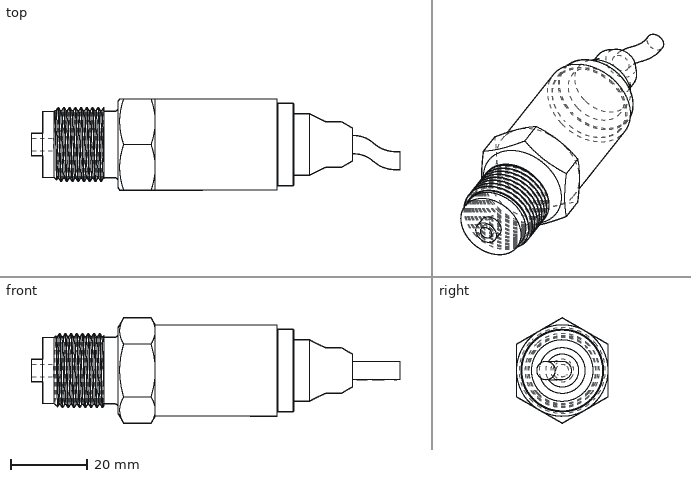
import cadquery as cq
import math


TIP_DIAMETER = 6.0
TIP_END = 3.0
BORE_DIAMETER = 3.3
BORE_DEPTH = 5.8
PILOT_DIAMETER = 17.45

THREAD_START = 6.0
THREAD_END = 19.1
THREAD_DIAMETER = 19.5
ROOT_DIAMETER = 17.8
THREAD_PITCH = 1.5
FIRST_CREST = 7.5
CREST_WIDTH = THREAD_PITCH / 8
FLANK_ANGLE = 30.0
LEAD_IN_LENGTH = 1.2
GROOVE_OVERCUT = 0.1

NECK_DIAMETER = 17.5
NECK_FILLET = 0.9

HEX_START = 22.8
HEX_END = 32.6
HEX_FLATS = 24.0
HEX_FACE_DIAMETER = 22.6
HEX_CHAMFER_ANGLE = 30.0
HOUSING_DIAMETER = HEX_FLATS
HOUSING_END = 64.6

COLLAR_DIAMETER = 21.7
COLLAR_CHAMFER = 0.24
COLLAR_END = 69.0
SHOULDER_DIAMETER = 16.2
SHOULDER_END = 73.1
NOSE_DIAMETER = 12.0
NOSE_START = 77.4
NOSE_FILLET = 0.7
NOSE_CONE_START = 81.5
NOSE_CONE_ANGLE = 30.0
NOSE_CONE_FILLET = 1.2
GLAND_END = 84.4
SELECT_MARGIN = 0.1

CABLE_DIAMETER = 4.8
CABLE_END = 96.95
CABLE_OFFSET = 4.3
BEND_END = 95.6
BEND_SLOPE = 0.9


def revolve_profile(profile):
    """Turn a closed XY profile about the X axis."""
    return profile.close().revolve(360, (0, 0, 0), (1, 0, 0))


def make_port_core():
    """Pressure tip, pilot and neck, with the thread root section bridging pilot and neck."""
    tip, pilot, neck = (d / 2 for d in (TIP_DIAMETER, PILOT_DIAMETER, NECK_DIAMETER))
    profile = (
        cq.Workplane("XY")
        .lineTo(0, tip)
        .lineTo(TIP_END, tip)
        .lineTo(TIP_END, pilot)
        .lineTo(THREAD_END, pilot)
        .lineTo(THREAD_END, neck)
        .lineTo(HEX_START - NECK_FILLET, neck)
        .radiusArc((HEX_START, neck + NECK_FILLET), -NECK_FILLET)
        .lineTo(HEX_START, 0)
    )
    return revolve_profile(profile)


def make_thread_groove(start, length):
    """Right-hand helical groove along X that leaves the thread crests standing."""
    root = ROOT_DIAMETER / 2
    crest = THREAD_DIAMETER / 2
    flank_slope = math.tan(math.radians(FLANK_ANGLE))
    mouth_half_width = (THREAD_PITCH - CREST_WIDTH) / 2
    root_half_width = mouth_half_width - (crest - root) * flank_slope
    outer_half_width = mouth_half_width + GROOVE_OVERCUT * flank_slope

    helix = cq.Wire.makeHelix(THREAD_PITCH, length, root)
    groove = (
        cq.Workplane("XZ")
        .moveTo(root, -root_half_width)
        .lineTo(crest + GROOVE_OVERCUT, -outer_half_width)
        .lineTo(crest + GROOVE_OVERCUT, outer_half_width)
        .lineTo(root, root_half_width)
        .close()
        .sweep(cq.Workplane(obj=helix), isFrenet=True)
    )
    return groove.rotate((0, 0, 0), (0, 1, 0), 90).translate((start, 0, 0))


def make_thread():
    """Grooved rod trimmed to the thread length and to its lead-in cone."""
    pilot, crest = PILOT_DIAMETER / 2, THREAD_DIAMETER / 2

    groove_start = FIRST_CREST - 2 * THREAD_PITCH
    groove_length = THREAD_END + THREAD_PITCH - groove_start
    rod = (
        cq.Workplane("YZ", origin=(groove_start - THREAD_PITCH, 0, 0))
        .circle(crest)
        .extrude(groove_length + 2 * THREAD_PITCH)
        .cut(make_thread_groove(groove_start, groove_length))
    )
    envelope = (
        cq.Workplane("XY")
        .moveTo(THREAD_START, 0)
        .lineTo(THREAD_START, pilot)
        .lineTo(THREAD_START + LEAD_IN_LENGTH, crest)
        .lineTo(THREAD_END, crest)
        .lineTo(THREAD_END, 0)
    )
    return rod.intersect(revolve_profile(envelope))


def make_hexagon():
    """Hexagon with corners up and down, both ends chamfered by cones."""
    corner = HEX_FLATS / math.sqrt(3)
    face = HEX_FACE_DIAMETER / 2
    slope = math.tan(math.radians(HEX_CHAMFER_ANGLE))
    back = HOUSING_DIAMETER / 2
    prism = (
        cq.Workplane("YZ", origin=(HEX_START, 0, 0))
        .polygon(6, 2 * corner)
        .extrude(HEX_END - HEX_START)
        .rotate((0, 0, 0), (1, 0, 0), 90)
    )
    profile = (
        cq.Workplane("XY")
        .moveTo(HEX_START, 0)
        .lineTo(HEX_START, face)
        .lineTo(HEX_START + (corner - face) * slope, corner)
        .lineTo(HEX_END - (corner - back) * slope, corner)
        .lineTo(HEX_END, back)
        .lineTo(HEX_END, 0)
    )
    return prism.intersect(revolve_profile(profile))


def make_housing():
    """Threaded port, hexagon and housing tube in one piece, with the pressure bore."""
    tube = (
        cq.Workplane("YZ", origin=(HEX_END, 0, 0))
        .circle(HOUSING_DIAMETER / 2)
        .extrude(HOUSING_END - HEX_END)
    )
    bore = cq.Workplane("YZ").circle(BORE_DIAMETER / 2).extrude(BORE_DEPTH)
    return make_port_core().union(make_thread()).union(make_hexagon()).union(tube).cut(bore)


def circle_at(x, radius):
    """Selector for the circular edge of the given radius around the X axis at x."""
    reach = radius + SELECT_MARGIN
    return cq.selectors.BoxSelector(
        (x - SELECT_MARGIN, -reach, -reach),
        (x + SELECT_MARGIN, reach, reach),
        boundingbox=True,
    )


def make_gland():
    """Stepped and tapered cable gland seated on the end of the housing."""
    collar, shoulder, nose = (
        d / 2 for d in (COLLAR_DIAMETER, SHOULDER_DIAMETER, NOSE_DIAMETER)
    )
    end = nose - (GLAND_END - NOSE_CONE_START) * math.tan(math.radians(NOSE_CONE_ANGLE))
    profile = (
        cq.Workplane("XY")
        .moveTo(HOUSING_END, 0)
        .lineTo(HOUSING_END, collar - COLLAR_CHAMFER)
        .lineTo(HOUSING_END + COLLAR_CHAMFER, collar)
        .lineTo(COLLAR_END - COLLAR_CHAMFER, collar)
        .lineTo(COLLAR_END, collar - COLLAR_CHAMFER)
        .lineTo(COLLAR_END, shoulder)
        .lineTo(SHOULDER_END, shoulder)
        .lineTo(NOSE_START, nose)
        .lineTo(NOSE_CONE_START, nose)
        .lineTo(GLAND_END, end)
        .lineTo(GLAND_END, 0)
    )

    gland = revolve_profile(profile)
    gland = gland.edges(circle_at(NOSE_START, nose)).fillet(NOSE_FILLET)
    gland = gland.edges(circle_at(NOSE_CONE_START, nose)).fillet(NOSE_CONE_FILLET)
    return gland


def make_cable():
    """Cable whose round section stays square to X while it swings smoothly over to -Y."""
    straight = (1, 0)
    middle = ((GLAND_END + BEND_END) / 2, -CABLE_OFFSET / 2)
    path = cq.Workplane("XY").spline(
        [(GLAND_END, 0), middle, (BEND_END, -CABLE_OFFSET), (CABLE_END, -CABLE_OFFSET)],
        tangents=[straight, (1, -BEND_SLOPE), straight, straight],
    )
    section = cq.Workplane("YZ", origin=(GLAND_END, 0, 0)).circle(CABLE_DIAMETER / 2)
    return section.sweep(path, normal=(1, 0, 0))


housing = make_housing()
gland = make_gland()
cable = make_cable()

result = cq.Compound.makeCompound([housing.val(), gland.val(), cable.val()])